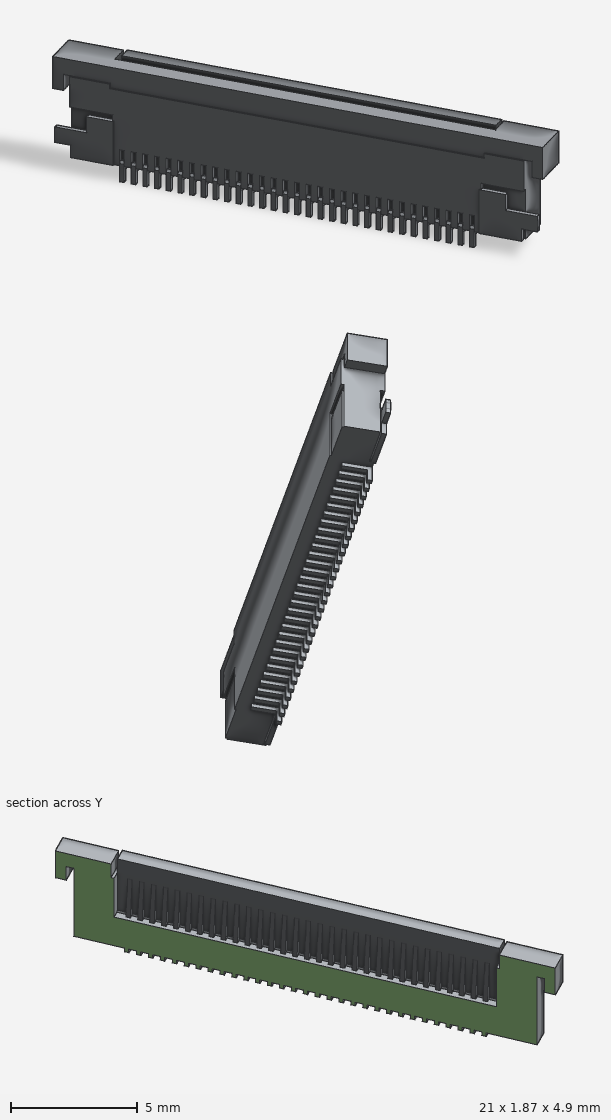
import cadquery as cq


HOUSING_LENGTH = 19.46
HOUSING_FRONT_Y = -1.79
TOP_Z = 4.2
SHOULDER_Z = 3.5
LIP_Z = 3.3
SPAN_LENGTH = 16.05
TONGUE_FRONT_Y = -0.57
FOOT_CHAMFER = 0.06

ACTUATOR_LENGTH = 21.0
ACTUATOR_BACK_Y = -0.07
ACTUATOR_FRONT_Y = -1.7
LEG_WIDTH = 0.46
LEG_BOTTOM_Z = 2.8
SLOT_FRONT_Y = -0.95
SLOT_FLOOR_Z = 1.5
NOTCH_LENGTH = 16.3

CONTACT_COUNT = 31
CONTACT_PITCH = 0.5
CONTACT_WIDTH = 0.19
CONTACT_BACK_Y = -0.57
UPRIGHT_FRONT_Y = -0.78
UPRIGHT_TOP_Z = 3.3
LEAD_BOTTOM_Z = -0.7
LEAD_BACK_Y = -1.6
LEAD_FRONT_Y = -1.8
LEAD_TOP_Z = 0.2
LEAD_CHAMFER = 0.1
FOOT_BOTTOM_Z = -0.18
GROOVE_WIDTH = 0.21
GROOVE_TOP_Z = 0.7

POCKET_INNER_X = 7.9
POCKET_TOP_Z = 2.17
FRONT_POCKET_FLOOR_Y = -1.6
BACK_POCKET_FLOOR_Y = -0.13
CLIP_INNER_X = 7.84
CLIP_STEP_X = 8.98
CLIP_OUTER_X = 9.67
CLIP_TOP_Z = 1.92
CLIP_BACK_Y = -1.67
CLIP_FRONT_Y = -1.87
BACK_CLIP_OUTER_Y = -0.06
ARM_END_X = 10.36
ARM_TOP_Z = 1.22
ARM_BOTTOM_Z = 0.54
ARM_TAPER_HEIGHT = 0.19
ARM_TAPER_LENGTH = 0.02


def box(x0, x1, y0, y1, z0, z1):
    """Axis-aligned block between two opposite corners."""
    return cq.Workplane("XY").box(x1 - x0, y1 - y0, z1 - z0, centered=False).translate((x0, y0, z0))


def centred_box(length, y0, y1, z0, z1):
    """Block centred on X = 0."""
    return box(-length / 2, length / 2, y0, y1, z0, z1)


def extrude_yz(points, centre_x, width):
    """Extrude a YZ outline along X, centred on centre_x."""
    return cq.Workplane("YZ").polyline(points).close().extrude(width / 2, both=True).translate((centre_x, 0, 0))


def extrude_xz(points, y0, y1):
    """Extrude an XZ outline from y0 to y1."""
    return cq.Workplane("XZ").polyline(points).close().extrude(y0 - y1).translate((0, y0, 0))


def with_mirror(shape):
    """A shape together with its mirror image at the other end of the connector."""
    return shape.union(shape.mirror("YZ"))


def make_housing():
    base = centred_box(HOUSING_LENGTH, HOUSING_FRONT_Y, 0, 0, SHOULDER_Z)
    lip_relief = centred_box(SPAN_LENGTH, HOUSING_FRONT_Y, SLOT_FRONT_Y, LIP_Z, SHOULDER_Z)
    tongue = centred_box(SPAN_LENGTH, TONGUE_FRONT_Y, 0, SHOULDER_Z, TOP_Z)
    return base.cut(lip_relief).union(tongue)


def make_actuator():
    half_length = ACTUATOR_LENGTH / 2
    leg_inner_x = half_length - LEG_WIDTH
    bar = centred_box(ACTUATOR_LENGTH, ACTUATOR_FRONT_Y, ACTUATOR_BACK_Y, SHOULDER_Z, TOP_Z)
    notch = centred_box(NOTCH_LENGTH, SLOT_FRONT_Y, ACTUATOR_BACK_Y, SHOULDER_Z, TOP_Z)
    lip = centred_box(SPAN_LENGTH, ACTUATOR_FRONT_Y, SLOT_FRONT_Y, LIP_Z, SHOULDER_Z)
    leg = box(leg_inner_x, half_length, ACTUATOR_FRONT_Y, ACTUATOR_BACK_Y, LEG_BOTTOM_Z, SHOULDER_Z)
    return bar.cut(notch).union(lip).union(with_mirror(leg))


def make_cable_slot():
    """Cable slot in front of the tongue, with a small chamfer along its foot."""
    outline = [
        (TONGUE_FRONT_Y, TOP_Z),
        (SLOT_FRONT_Y, TOP_Z),
        (SLOT_FRONT_Y, SLOT_FLOOR_Z),
        (TONGUE_FRONT_Y - FOOT_CHAMFER, SLOT_FLOOR_Z),
        (TONGUE_FRONT_Y, SLOT_FLOOR_Z + FOOT_CHAMFER),
    ]
    return extrude_yz(outline, 0, SPAN_LENGTH)


def make_clip_pockets():
    outer_x = HOUSING_LENGTH / 2
    front = box(POCKET_INNER_X, outer_x, HOUSING_FRONT_Y, FRONT_POCKET_FLOOR_Y, 0, POCKET_TOP_Z)
    back = box(POCKET_INNER_X, outer_x, BACK_POCKET_FLOOR_Y, 0, 0, POCKET_TOP_Z)
    return with_mirror(front.union(back))


def make_clips():
    front_outline = [
        (CLIP_INNER_X, 0),
        (CLIP_OUTER_X, 0),
        (CLIP_OUTER_X, ARM_BOTTOM_Z),
        (ARM_END_X - ARM_TAPER_LENGTH, ARM_BOTTOM_Z),
        (ARM_END_X, ARM_BOTTOM_Z + ARM_TAPER_HEIGHT),
        (ARM_END_X, ARM_TOP_Z - ARM_TAPER_HEIGHT),
        (ARM_END_X - ARM_TAPER_LENGTH, ARM_TOP_Z),
        (CLIP_STEP_X, ARM_TOP_Z),
        (CLIP_STEP_X, CLIP_TOP_Z),
        (CLIP_INNER_X, CLIP_TOP_Z),
    ]
    front = extrude_xz(front_outline, CLIP_FRONT_Y, CLIP_BACK_Y)
    back = box(POCKET_INNER_X, CLIP_OUTER_X, BACK_POCKET_FLOOR_Y, BACK_CLIP_OUTER_Y, 0, CLIP_TOP_Z)
    return with_mirror(front.union(back))


def make_groove(x):
    """Groove in the housing front that frees the top of one lead."""
    return box(x - GROOVE_WIDTH / 2, x + GROOVE_WIDTH / 2, HOUSING_FRONT_Y, LEAD_BACK_Y, 0, GROOVE_TOP_Z)


def make_lead(x):
    """Foot under the housing with the downward lead at its front."""
    outline = [
        (CONTACT_BACK_Y, LEAD_TOP_Z),
        (CONTACT_BACK_Y, FOOT_BOTTOM_Z),
        (LEAD_BACK_Y, FOOT_BOTTOM_Z),
        (LEAD_BACK_Y, LEAD_BOTTOM_Z),
        (LEAD_FRONT_Y, LEAD_BOTTOM_Z),
        (LEAD_FRONT_Y, LEAD_TOP_Z - LEAD_CHAMFER),
        (LEAD_FRONT_Y + LEAD_CHAMFER, LEAD_TOP_Z),
    ]
    return extrude_yz(outline, x, CONTACT_WIDTH)


def make_upright(x):
    """Contact blade on the tongue, its front sloped as a lead-in for the cable."""
    outline = [
        (CONTACT_BACK_Y, SLOT_FLOOR_Z),
        (UPRIGHT_FRONT_Y, SLOT_FLOOR_Z),
        (CONTACT_BACK_Y, UPRIGHT_TOP_Z),
    ]
    return extrude_yz(outline, x, CONTACT_WIDTH)


def make_row(make_item):
    """One item at every contact position, gathered into a single compound."""
    first_x = -(CONTACT_COUNT - 1) * CONTACT_PITCH / 2
    items = [make_item(first_x + i * CONTACT_PITCH).val() for i in range(CONTACT_COUNT)]
    return cq.Workplane(cq.Compound.makeCompound(items))


body = make_housing().union(make_actuator())
body = body.cut(make_cable_slot()).cut(make_clip_pockets()).cut(make_row(make_groove))
result = body.union(make_clips()).union(make_row(make_lead)).union(make_row(make_upright))